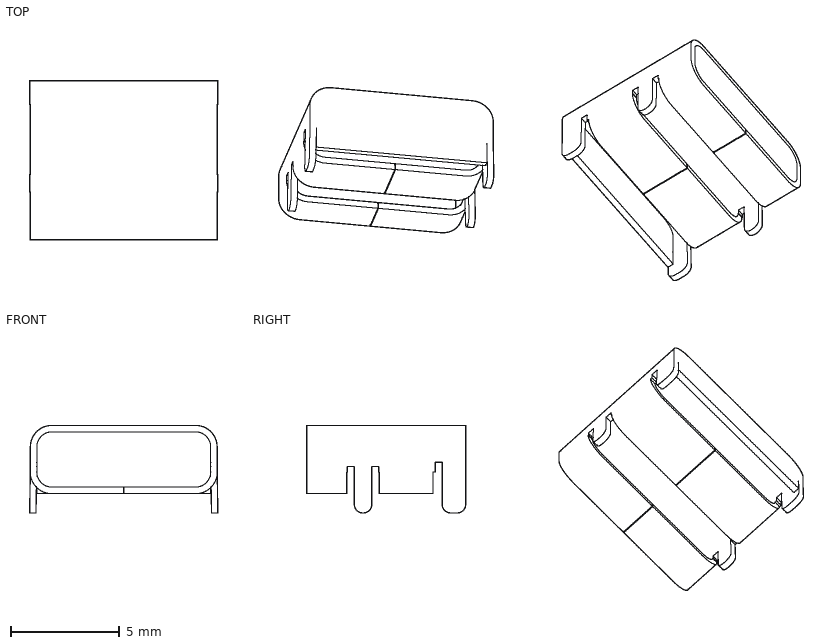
import cadquery as cq
import math


overall_width = 8.71
depth = 7.35
height = 3.16
bend_radius = 1.0
wall = 0.305
seam_gap = 0.035

leg_drop = 1.9
leg_lean_degrees = 1.0
leg_tip_radius = 0.41
front_leg_width = 2 * leg_tip_radius
rear_leg_width = 1.1

front_floor_depth = 1.855
front_leg_start = 2.195
middle_floor_start = 3.345
middle_floor_end = 5.845
slot_width = 0.31
front_slot_rise = 0.24
rear_slot_rise = 0.44

bend_line = bend_radius
lean_offset = leg_drop * math.tan(math.radians(leg_lean_degrees))
tube_width = overall_width - 2 * lean_offset
inner_width = tube_width - 2 * wall
front_leg_end = front_leg_start + front_leg_width
rear_leg_start = depth - rear_leg_width


def block(x_size, y_start, y_end, z_start, z_end):
    """Box centred on X = 0, between the given Y and Z limits."""
    return cq.Workplane("XY").box(
        x_size, y_end - y_start, z_end - z_start, centered=(True, False, False)
    ).translate((0, y_start, z_start))


def rounded_bar(width, bar_height, radius, z_start):
    """Bar of full depth with its four long edges rounded."""
    return block(width, 0, depth, z_start, z_start + bar_height).edges("|Y").fillet(radius)


def make_tube():
    outer = rounded_bar(tube_width, height, bend_radius, 0)
    inner = rounded_bar(inner_width, height - 2 * wall, bend_radius - wall, wall)
    seam = block(seam_gap, 0, depth, 0, wall)
    return outer.cut(inner).cut(seam)


def cut_reliefs(tube):
    """Remove the floor and lower bends beside the legs, and notch the side walls."""
    for y_start, y_end in (
        (front_floor_depth, middle_floor_start),
        (middle_floor_end, depth),
    ):
        tube = tube.cut(block(overall_width, y_start, y_end, 0, bend_line))

    for y_start, rise in (
        (front_leg_start - slot_width, front_slot_rise),
        (front_leg_end, front_slot_rise),
        (rear_leg_start - slot_width, rear_slot_rise),
    ):
        slot = block(overall_width, y_start, y_start + slot_width, bend_line, bend_line + rise)
        tube = tube.cut(slot)
    return tube


def make_leg(y_start, width, side):
    """Round-tipped leg that leans outward from the bend line; side is -1 or 1 along X."""
    outside = side * tube_width / 2
    inside = side * inner_width / 2
    lean = side * lean_offset
    tip = bend_line - leg_drop
    strip = (
        cq.Workplane("XZ", origin=(0, y_start, 0))
        .moveTo(inside, bend_line)
        .lineTo(outside, bend_line)
        .lineTo(outside + lean, tip)
        .lineTo(inside + lean, tip)
        .close()
        .extrude(-width)
    )

    tip_centre = tip + leg_tip_radius
    y_end = y_start + width
    corner = leg_tip_radius * math.sqrt(0.5)
    outline = (
        cq.Workplane("YZ", origin=(-overall_width, 0, 0))
        .moveTo(y_start, bend_line)
        .lineTo(y_start, tip_centre)
        .threePointArc(
            (y_start + leg_tip_radius - corner, tip_centre - corner),
            (y_start + leg_tip_radius, tip),
        )
    )
    if width > 2 * leg_tip_radius:
        outline = outline.lineTo(y_end - leg_tip_radius, tip)
    outline = (
        outline.threePointArc(
            (y_end - leg_tip_radius + corner, tip_centre - corner),
            (y_end, tip_centre),
        )
        .lineTo(y_end, bend_line)
        .close()
        .extrude(2 * overall_width)
    )
    return strip.intersect(outline)


def make_back_plate():
    """Plate between the side walls, closing the back down to the floor level."""
    plate = block(inner_width, depth - wall, depth, 0, height - wall)
    return plate.edges("|Y and >Z").fillet(bend_radius - wall)


result = cut_reliefs(make_tube())
for side in (-1, 1):
    result = result.union(make_leg(front_leg_start, front_leg_width, side))
    result = result.union(make_leg(rear_leg_start, rear_leg_width, side))
result = result.union(make_back_plate())